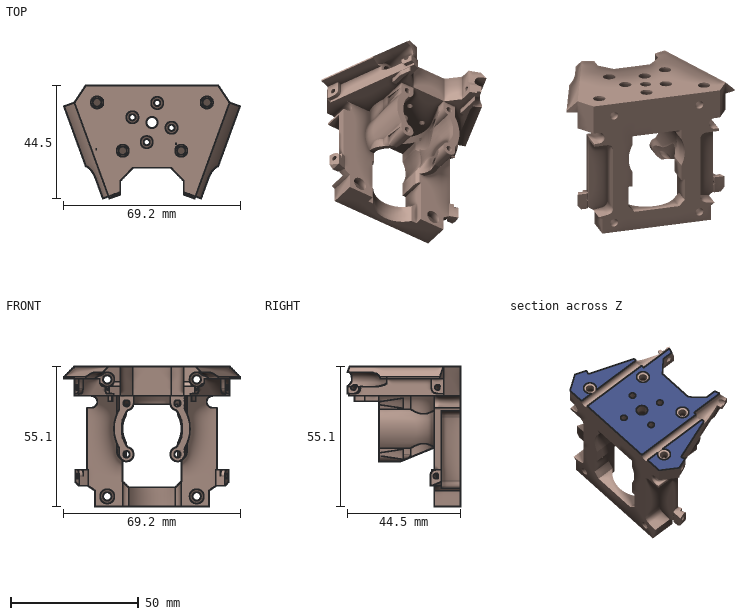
import cadquery as cq
import math

TOP_Z = 55.1
PLATE_BOTTOM_Z = 43.5
HALF_WIDTH = 34.6
FRAME_DEPTH = 10.45

WALL_ANGLE = math.radians(20)
FLANGE_OVERHANG = 4.35
FLANGE_DROP = 4.15
FLANGE_BOTTOM_Z = 50.35
PLATE_BACK_HALF_WIDTH = 26.05
CORNER_X = HALF_WIDTH - FLANGE_OVERHANG * math.cos(WALL_ANGLE)
CORNER_Y = 6.7
WALL_LENGTH = 39.3
WALL_RECESS = 1.8
NOTCH_HALF_WIDTH = 12.45
NOTCH_BACK_HALF_WIDTH = 7.5
NOTCH_BACK_Y = 32.5
NOTCH_CHAMFER_Y = 37.5

LUG_HOLE_RADIUS = 1.05
LUG_HOLE_Z = 46.9
LUG_BOTTOM_Z = 44.45
LUG_CORNER_RADIUS = 2.1
REAR_LUG_LENGTH = 5.05
FRONT_LUG_START = 35.4
REAR_LUG_HOLE_S = 2.55
FRONT_LUG_HOLE_S = 37.75
REAR_LUG_HOLE_DEPTH = 5.55
FRONT_LUG_HOLE_DEPTH = 8.3
NOSE_REACH = 0.9
NOSE_WIDTH = 6.9
NOSE_SHOULDER_Z = 47.3
NOSE_TOP_Z = 49.2

SCREW_X = 17.6
LOW_SCREW_Z = 4.0
HIGH_SCREW_Z = 50.0
SCREW_RADIUS = 1.6
SCREW_HEAD_RADIUS = 2.85
LOW_SEAT_DEPTH = 3.3
HIGH_SEAT_Y = 29.1
RELIEF_ANGLE = math.radians(32)
RELIEF_EDGE_X = 22.4
RELIEF_LENGTH = 6.6

FRAME_HALF_WIDTH = 25.6
FOOT_HALF_WIDTH = 22.45
FOOT_HEIGHT = 6.2
SHOULDER_Z = 8.45
FRAME_SIDE_TOP_Z = 38.9
FRAME_CORNER_RADIUS = 0.35
TOP_GROOVE_X = 23.8
TOP_GROOVE_Z = 41.2
TOP_GROOVE_RADIUS = 2.3
SIDE_POCKET_X = 18.0
SIDE_POCKET_DEPTH = 7.55
SIDE_POCKET_TOP_Z = 37.75
SIDE_POCKET_BOTTOM_Z = 8.2
SIDE_POCKET_FALL = 1.25
SIDE_POCKET_RADIUS = 2.4
WINDOW_HALF_WIDTH = 11.55
WINDOW_BOTTOM_Z = 7.6
WINDOW_TOP_Z = 40.15
WINDOW_CHAMFER = 2.35
UPPER_WINDOW_HALF_WIDTH = 10.1
UPPER_WINDOW_Z = 18.7
BRIDGE_FRONT_Y = 7.5

BARREL_Y = 14.6
BARREL_BORE_RADIUS = 11.6
BARREL_RADIUS = 13.8
TUBE_FRONT_Y = 32.1
TUBE_Z = 30.6
TUBE_BORE_RADIUS = 12.0
TUBE_RADIUS = 14.95
BOSS_OFFSET = 10.05
BOSS_RADIUS = 2.85
BOSS_HOLE_RADIUS = 1.25
BOSS_SIDE_X = BOSS_OFFSET + BOSS_RADIUS
TUBE_SLIT_HALF_WIDTH = BOSS_OFFSET - BOSS_RADIUS
SLOPE_BACK_Z = 23.1
SLOPE_FRONT_Y = 23.7
TAPER_BACK_Y = 22.5
TAPER_DEPTH = 0.8
TAPER_HEIGHT = 4.0
TAPER_FRONT_HEIGHT = 1.1

RIB_BOTTOM_Z = 41.4
RIB_OUTER_X = 17.25
RIB_INNER_X = 15.45
RIB_BACK_Y = 32.1
RIB_BEND_Y = 37.6
RIB_FRONT_Y = 41.75

LOW_LUG_START = -2.1
LOW_LUG_END = 5.55
LOW_LUG_Z = (8.1, 14.55)
LOW_LUG_INSET = 3.9
LOW_LUG_RADIUS = 2.4
LOW_LUG_HOLE = (3.2, 12.0)
LOW_LUG_SLOPE = (30.55, 10.2, 28.75, 8.1)

PLATE_BORE_RADIUS = 2.15
RING_RADIUS = 7.95
RING_HOLE_COUNT = 4
RING_START_ANGLE = 75
RING_HOLE_RADIUS = 1.2
RING_SEAT_DEPTH = 2.6
HEAD_RADIUS = 2.4
DEEP_HOLES = [(21.6, 6.7), (11.5, 25.7)]
DEEP_HOLE_RADIUS = 1.65
DEEP_SEAT_DEPTH = 5.55
DEEP_HOLE_DEPTH = 9.7

FAR = 69.25
OVERLAP = 0.7


def box(x0, x1, y0, y1, z0, z1):
    """Axis-aligned block between the given limits."""
    return cq.Workplane("XY").box(x1 - x0, y1 - y0, z1 - z0, centered=False).translate((x0, y0, z0))


def y_cylinder(x, z, radius, y_from, y_to):
    """Cylinder along Y running forward from y_from to y_to."""
    return cq.Workplane("XZ", origin=(x, y_from, z)).circle(radius).extrude(y_from - y_to)


def side_plane(x, y, angle, inset=0.0):
    """Upright plane facing left and turned forward by angle; local x runs forward, local y up."""
    normal = cq.Vector(-math.cos(angle), -math.sin(angle), 0)
    origin = cq.Vector(x, y, 0) - normal * inset
    return cq.Workplane(cq.Plane(origin, xDir=(math.sin(angle), -math.cos(angle), 0), normal=normal))


def wall_plane(inset=0.0):
    """Plane of the left side wall, moved into the part by inset."""
    return side_plane(-CORNER_X, -CORNER_Y, WALL_ANGLE, inset)


def end_plane(distance):
    """Plane across the left wall; local x runs outwards, local y up, and the wall runs along -normal."""
    outward = (-math.cos(WALL_ANGLE), -math.sin(WALL_ANGLE), 0)
    backward = (-math.sin(WALL_ANGLE), math.cos(WALL_ANGLE), 0)
    return cq.Workplane(cq.Plane((*on_wall(distance), 0), xDir=outward, normal=backward))


def rect_on(plane, s0, s1, z0, z1, depth):
    """Block on an upright plane, between two distances along it and two heights."""
    return plane.moveTo(s0, z0).lineTo(s1, z0).lineTo(s1, z1).lineTo(s0, z1).close().extrude(depth)


def on_wall(distance):
    """Plan position of a point on the left wall, measured from its back corner."""
    return (
        -CORNER_X + distance * math.sin(WALL_ANGLE),
        -CORNER_Y - distance * math.cos(WALL_ANGLE),
    )


def left_plate():
    """Left half of the top plate with its leg, flange and lugs."""
    wall_front = on_wall(WALL_LENGTH)
    leg_front_y = wall_front[1] + (-NOTCH_HALF_WIDTH - wall_front[0]) * math.tan(WALL_ANGLE)
    outline = [
        (0, 0),
        (-PLATE_BACK_HALF_WIDTH, 0),
        on_wall(0),
        wall_front,
        (-NOTCH_HALF_WIDTH, leg_front_y),
        (-NOTCH_HALF_WIDTH, -NOTCH_CHAMFER_Y),
        (-NOTCH_BACK_HALF_WIDTH, -NOTCH_BACK_Y),
        (0, -NOTCH_BACK_Y),
    ]
    plate = cq.Workplane("XY", origin=(0, 0, PLATE_BOTTOM_Z)).polyline(outline).close()
    plate = plate.extrude(TOP_Z - PLATE_BOTTOM_Z)

    return plate.union(nose()).cut(wall_recess()).union(flange())


def wall_recess():
    """Set-back of the side wall below the flange, leaving a rear and a front lug with round corners."""
    diagonal = LUG_CORNER_RADIUS * (1 - math.sqrt(0.5))
    round_top_z = LUG_BOTTOM_Z + LUG_CORNER_RADIUS
    profile = (
        wall_plane(WALL_RECESS)
        .moveTo(0, PLATE_BOTTOM_Z)
        .lineTo(FAR, PLATE_BOTTOM_Z)
        .lineTo(FAR, LUG_BOTTOM_Z)
        .lineTo(FRONT_LUG_START + LUG_CORNER_RADIUS, LUG_BOTTOM_Z)
        .threePointArc(
            (FRONT_LUG_START + diagonal, LUG_BOTTOM_Z + diagonal),
            (FRONT_LUG_START, round_top_z),
        )
        .lineTo(FRONT_LUG_START, FLANGE_BOTTOM_Z)
        .lineTo(REAR_LUG_LENGTH, FLANGE_BOTTOM_Z)
        .lineTo(REAR_LUG_LENGTH, round_top_z)
        .threePointArc(
            (REAR_LUG_LENGTH - diagonal, LUG_BOTTOM_Z + diagonal),
            (REAR_LUG_LENGTH - LUG_CORNER_RADIUS, LUG_BOTTOM_Z),
        )
        .lineTo(0, LUG_BOTTOM_Z)
        .close()
    )
    return profile.extrude(FAR)


def flange():
    """Overhanging strip along the wall with a sloped top and a thin upright lip."""
    lip_top_z = TOP_Z - FLANGE_DROP
    strip = (
        end_plane(0)
        .moveTo(-OVERLAP, TOP_Z)
        .lineTo(0, TOP_Z)
        .lineTo(FLANGE_OVERHANG, lip_top_z)
        .lineTo(FLANGE_OVERHANG, FLANGE_BOTTOM_Z)
        .lineTo(-OVERLAP, FLANGE_BOTTOM_Z)
        .close()
    )
    return strip.extrude(-WALL_LENGTH)


def nose():
    """Low bar across the front of the leg with a sloped top."""
    bar = (
        wall_plane()
        .moveTo(WALL_LENGTH - OVERLAP, PLATE_BOTTOM_Z)
        .lineTo(WALL_LENGTH + NOSE_REACH, PLATE_BOTTOM_Z)
        .lineTo(WALL_LENGTH + NOSE_REACH, NOSE_SHOULDER_Z)
        .lineTo(WALL_LENGTH, NOSE_TOP_Z)
        .lineTo(WALL_LENGTH - OVERLAP, NOSE_TOP_Z)
        .close()
        .extrude(-NOSE_WIDTH)
    )
    return bar.intersect(box(-FAR, -NOTCH_HALF_WIDTH, -FAR, 0, 0, FAR))


def high_screw_cuts():
    """Screw hole through the plate, with a head channel that opens to the front and to the side."""
    hole = y_cylinder(-SCREW_X, HIGH_SCREW_Z, SCREW_RADIUS, 0, -FAR)
    channel = y_cylinder(-SCREW_X, HIGH_SCREW_Z, SCREW_HEAD_RADIUS, -HIGH_SEAT_Y, -FAR)
    relief_plane = side_plane(-RELIEF_EDGE_X, -HIGH_SEAT_Y, RELIEF_ANGLE, RELIEF_EDGE_X)
    low_z = HIGH_SCREW_Z - SCREW_HEAD_RADIUS
    high_z = HIGH_SCREW_Z + SCREW_HEAD_RADIUS
    end = relief_plane.center(RELIEF_LENGTH, HIGH_SCREW_Z).ellipse(RELIEF_LENGTH, SCREW_HEAD_RADIUS)
    relief = end.extrude(FAR)
    relief = relief.union(rect_on(relief_plane, RELIEF_LENGTH, FAR, low_z, high_z, FAR))
    relief = relief.intersect(box(-FAR, -SCREW_X, -FAR, -HIGH_SEAT_Y, 0, FAR))
    return hole.union(channel).union(relief)


def lug_holes():
    """Cross holes through the two lugs under the flange."""
    rear = wall_plane(REAR_LUG_HOLE_DEPTH).pushPoints([(REAR_LUG_HOLE_S, LUG_HOLE_Z)])
    front = wall_plane(FRONT_LUG_HOLE_DEPTH).pushPoints([(FRONT_LUG_HOLE_S, LUG_HOLE_Z)])
    return rear.circle(LUG_HOLE_RADIUS).extrude(FAR).union(front.circle(LUG_HOLE_RADIUS).extrude(FAR))


def left_rib():
    """Rib under the leg that follows the recessed wall at its front end."""
    slant = (RIB_FRONT_Y - RIB_BEND_Y) * math.tan(WALL_ANGLE)
    outline = [
        (-RIB_OUTER_X, -RIB_BACK_Y),
        (-RIB_OUTER_X, -RIB_BEND_Y),
        (slant - RIB_OUTER_X, -RIB_FRONT_Y),
        (-RIB_INNER_X, -RIB_FRONT_Y),
        (-RIB_INNER_X, -RIB_BACK_Y),
    ]
    rib = cq.Workplane("XY", origin=(0, 0, RIB_BOTTOM_Z)).polyline(outline).close()
    return rib.extrude(PLATE_BOTTOM_Z - RIB_BOTTOM_Z)


def left_frame():
    """Left half of the upright frame at the back."""
    outline = [
        (0, 0),
        (-FOOT_HALF_WIDTH, 0),
        (-FOOT_HALF_WIDTH, FOOT_HEIGHT),
        (-FRAME_HALF_WIDTH, SHOULDER_Z),
        (-FRAME_HALF_WIDTH, FRAME_SIDE_TOP_Z),
        (-TOP_GROOVE_X, FRAME_SIDE_TOP_Z),
        (-TOP_GROOVE_X, PLATE_BOTTOM_Z),
        (0, PLATE_BOTTOM_Z),
    ]
    frame = cq.Workplane("XZ").polyline(outline).close().extrude(FRAME_DEPTH)
    frame = frame.edges("|Y and <X").edges(">Z").fillet(FRAME_CORNER_RADIUS)
    frame = frame.cut(y_cylinder(-TOP_GROOVE_X, TOP_GROOVE_Z, TOP_GROOVE_RADIUS, 0, -FRAME_DEPTH))

    pocket_outline = [
        (-SIDE_POCKET_X, SIDE_POCKET_TOP_Z),
        (-SIDE_POCKET_X, SIDE_POCKET_BOTTOM_Z),
        (-FRAME_HALF_WIDTH, SIDE_POCKET_BOTTOM_Z - SIDE_POCKET_FALL),
        (-FRAME_HALF_WIDTH, SIDE_POCKET_TOP_Z),
    ]
    pocket = cq.Workplane("XZ").polyline(pocket_outline).close().extrude(SIDE_POCKET_DEPTH)
    frame = frame.cut(pocket.edges(">X and |Y").fillet(SIDE_POCKET_RADIUS))

    window = [
        (0, WINDOW_BOTTOM_Z),
        (WINDOW_CHAMFER - WINDOW_HALF_WIDTH, WINDOW_BOTTOM_Z),
        (-WINDOW_HALF_WIDTH, WINDOW_BOTTOM_Z + WINDOW_CHAMFER),
        (-WINDOW_HALF_WIDTH, UPPER_WINDOW_Z),
        (-UPPER_WINDOW_HALF_WIDTH, UPPER_WINDOW_Z),
        (-UPPER_WINDOW_HALF_WIDTH, WINDOW_TOP_Z),
        (0, WINDOW_TOP_Z),
    ]
    frame = frame.cut(cq.Workplane("XZ").polyline(window).close().extrude(FRAME_DEPTH))
    round_window = y_cylinder(0, TUBE_Z, WINDOW_HALF_WIDTH, 0, -FRAME_DEPTH)
    frame = frame.cut(round_window.intersect(box(-FAR, FAR, -FAR, 0, 0, WINDOW_TOP_Z)))
    bridge_top_z = WINDOW_BOTTOM_Z + WINDOW_CHAMFER
    frame = frame.cut(box(-WINDOW_HALF_WIDTH, 0, -FAR, -BRIDGE_FRONT_Y, 0, bridge_top_z))

    hole = y_cylinder(-SCREW_X, LOW_SCREW_Z, SCREW_RADIUS, 0, -FAR)
    seat_y = LOW_SEAT_DEPTH - FRAME_DEPTH
    head = y_cylinder(-SCREW_X, LOW_SCREW_Z, SCREW_HEAD_RADIUS, seat_y, -FAR)
    return frame.union(low_lug()).cut(hole).cut(head)


def low_lug():
    """Lug at the foot of the frame, in line with the side wall of the plate."""
    bottom_z, top_z = LOW_LUG_Z
    lug = rect_on(wall_plane(LOW_LUG_INSET), LOW_LUG_START, LOW_LUG_END, bottom_z, top_z, LOW_LUG_INSET)
    corner_z = top_z - LOW_LUG_RADIUS
    corner = rect_on(wall_plane(WALL_RECESS), LOW_LUG_END - LOW_LUG_RADIUS, FAR, corner_z, FAR, FAR)
    rounding = wall_plane(WALL_RECESS).center(LOW_LUG_END - LOW_LUG_RADIUS, corner_z)
    lug = lug.cut(corner.cut(rounding.circle(LOW_LUG_RADIUS).extrude(FAR)))
    lug = lug.intersect(box(-FAR, 0, -FAR, -SIDE_POCKET_DEPTH, 0, FAR))

    outer_x, outer_z, inner_x, inner_z = LOW_LUG_SLOPE
    under = [(-outer_x, outer_z), (-inner_x, inner_z), (-outer_x, inner_z)]
    lug = lug.cut(cq.Workplane("XZ").polyline(under).close().extrude(FAR))
    hole = wall_plane(LOW_LUG_INSET).center(*LOW_LUG_HOLE).circle(LUG_HOLE_RADIUS).extrude(FAR)
    return lug.cut(hole)


def left_tube():
    """Left half of the split tube with its two screw bosses and its share of the barrel."""
    back_y = -FRAME_DEPTH
    low_z = TUBE_Z - BOSS_OFFSET
    high_z = TUBE_Z + BOSS_OFFSET
    tube = y_cylinder(0, TUBE_Z, TUBE_RADIUS, back_y, -TUBE_FRONT_Y)
    tube = tube.intersect(box(-FAR, -TUBE_SLIT_HALF_WIDTH, -FAR, 0, low_z, high_z))
    tube = tube.union(box(-BOSS_SIDE_X, -BOSS_OFFSET, -TUBE_FRONT_Y, back_y, low_z, high_z))
    tube = tube.union(
        box(-BOSS_SIDE_X, -TUBE_SLIT_HALF_WIDTH, -TUBE_FRONT_Y, back_y, high_z, PLATE_BOTTOM_Z)
    )
    barrel = cq.Workplane("XY", origin=(0, -BARREL_Y, 0)).circle(BARREL_RADIUS).extrude(PLATE_BOTTOM_Z)
    barrel_side = box(-FAR, -TUBE_SLIT_HALF_WIDTH, -FAR, back_y, low_z, FAR)
    barrel_side = barrel_side.union(box(-FAR, -BOSS_OFFSET, -FAR, back_y, 0, FAR))
    tube = tube.union(barrel.intersect(barrel_side))
    tube = tube.cut(y_cylinder(0, TUBE_Z, TUBE_BORE_RADIUS, back_y, -FAR))

    for z in (low_z, high_z):
        tube = tube.union(y_cylinder(-BOSS_OFFSET, z, BOSS_RADIUS, back_y, -TUBE_FRONT_Y))
        tube = tube.cut(y_cylinder(-BOSS_OFFSET, z, BOSS_HOLE_RADIUS, back_y, -FAR))
        tube = tube.cut(boss_taper().translate((0, 0, z)))

    boss_bottom_z = low_z - BOSS_RADIUS
    underside = [
        (back_y, 0),
        (back_y, SLOPE_BACK_Z),
        (-SLOPE_FRONT_Y, boss_bottom_z),
        (-FAR, boss_bottom_z),
        (-FAR, 0),
    ]
    return tube.cut(cq.Workplane("YZ").polyline(underside).close().extrude(-FAR))


def boss_taper():
    """Hollow in the flat side of a boss that narrows and runs out towards the front."""
    plan = [
        (-BOSS_SIDE_X, -TUBE_FRONT_Y),
        (-BOSS_SIDE_X, -TAPER_BACK_Y),
        (TAPER_DEPTH - BOSS_SIDE_X, -TAPER_BACK_Y),
    ]
    side = [
        (-TAPER_BACK_Y, -TAPER_HEIGHT / 2),
        (-TAPER_BACK_Y, TAPER_HEIGHT / 2),
        (-TUBE_FRONT_Y, TAPER_FRONT_HEIGHT / 2),
        (-TUBE_FRONT_Y, -TAPER_FRONT_HEIGHT / 2),
    ]
    wedge = cq.Workplane("XY").polyline(plan).close().extrude(TAPER_HEIGHT, both=True)
    return wedge.intersect(cq.Workplane("YZ").polyline(side).close().extrude(-FAR))


def barrel_bore():
    """Vertical bore, widened towards the front between tangent planes parallel to the side walls."""
    bore = cq.Workplane("XY", origin=(0, -BARREL_Y, 0)).circle(BARREL_BORE_RADIUS).extrude(PLATE_BOTTOM_Z)
    tangent_x = BARREL_BORE_RADIUS * math.cos(WALL_ANGLE)
    tangent_y = -BARREL_Y - BARREL_BORE_RADIUS * math.sin(WALL_ANGLE)
    front_x = tangent_x - (TUBE_FRONT_Y + tangent_y) * math.tan(WALL_ANGLE)
    wedge = [
        (tangent_x, tangent_y),
        (front_x, -TUBE_FRONT_Y),
        (-front_x, -TUBE_FRONT_Y),
        (-tangent_x, tangent_y),
    ]
    return bore.union(cq.Workplane("XY").polyline(wedge).close().extrude(PLATE_BOTTOM_Z))


def plate_hole(x, y, radius, depth, seat_depth):
    """Counterbored hole sunk from the top face."""
    hole = cq.Workplane("XY", origin=(x, y, TOP_Z)).circle(radius).extrude(-depth)
    head = cq.Workplane("XY", origin=(x, y, TOP_Z)).circle(HEAD_RADIUS).extrude(-seat_depth)
    return hole.union(head)


plate_thickness = TOP_Z - PLATE_BOTTOM_Z
left_half = left_plate().union(left_rib()).union(left_frame()).union(left_tube())
left_half = left_half.cut(high_screw_cuts()).cut(lug_holes())
result = left_half.union(left_half.mirror("YZ")).cut(barrel_bore())

centre_bore = cq.Workplane("XY", origin=(0, -BARREL_Y, PLATE_BOTTOM_Z)).circle(PLATE_BORE_RADIUS)
result = result.cut(centre_bore.extrude(plate_thickness))
for step in range(RING_HOLE_COUNT):
    angle = math.radians(RING_START_ANGLE + 360 / RING_HOLE_COUNT * step)
    hole_x = RING_RADIUS * math.cos(angle)
    hole_y = RING_RADIUS * math.sin(angle) - BARREL_Y
    result = result.cut(plate_hole(hole_x, hole_y, RING_HOLE_RADIUS, plate_thickness, RING_SEAT_DEPTH))
for hole_x, hole_y in DEEP_HOLES:
    for side in (-1, 1):
        result = result.cut(
            plate_hole(side * hole_x, -hole_y, DEEP_HOLE_RADIUS, DEEP_HOLE_DEPTH, DEEP_SEAT_DEPTH)
        )